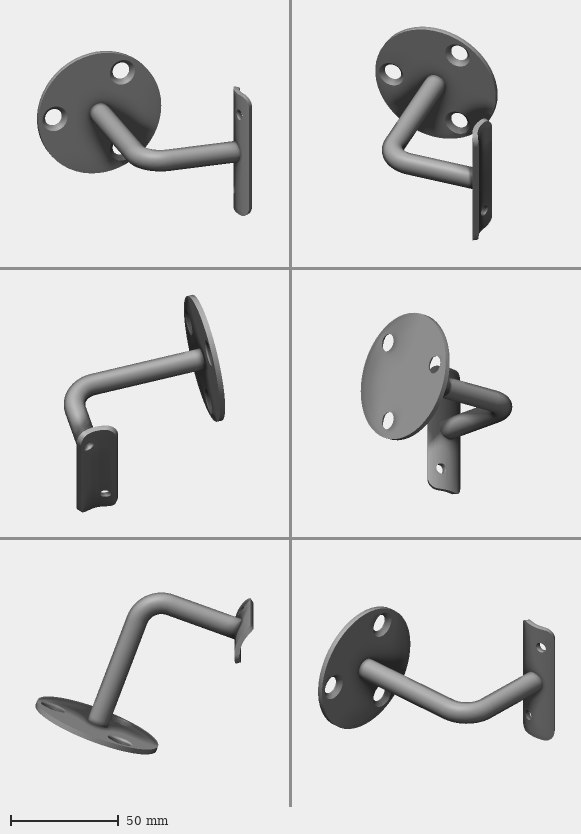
import cadquery as cq
import math

disc_diameter = 60.0
disc_thickness = 2.5
screw_hole_diameter = 8.2
screw_hole_land = 0.5
screw_circle_radius = 22.0
screw_hole_count = 3

arm_diameter = 10.0
bend_radius = 12.0

overall_length = 80.0
saddle_width = 20.0
saddle_height = 60.0
saddle_thickness = 2.5
saddle_outer_radius = 16.8
saddle_corner_radius = 4.95
saddle_x = 67.0
saddle_hole_diameter = 4.95
saddle_hole_x = 4.0
saddle_hole_z = 20.0

saddle_inner_radius = saddle_outer_radius - saddle_thickness
saddle_middle_radius = (saddle_inner_radius + saddle_outer_radius) / 2
half_angle = math.asin(saddle_width / 2 / saddle_outer_radius)
saddle_tip_y = overall_length - disc_diameter / 2
saddle_axis_y = saddle_tip_y + saddle_inner_radius * math.cos(half_angle)


def make_disc():
    disc = cq.Workplane("YZ").circle(disc_diameter / 2).extrude(disc_thickness)
    countersink_radius = screw_hole_diameter / 2 + disc_thickness - screw_hole_land
    hole = (
        cq.Workplane("XY")
        .polyline([
            (0, 0),
            (0, screw_hole_diameter / 2),
            (screw_hole_land, screw_hole_diameter / 2),
            (disc_thickness, countersink_radius),
            (disc_thickness, 0),
        ])
        .close()
        .revolve(360, (0, 0, 0), (1, 0, 0))
        .translate((0, -screw_circle_radius, 0))
    )
    for index in range(screw_hole_count):
        angle = index * 360 / screw_hole_count
        disc = disc.cut(hole.rotate((0, 0, 0), (1, 0, 0), angle))
    return disc


def make_arm():
    path = (
        cq.Workplane("XY")
        .lineTo(saddle_x - bend_radius, 0)
        .tangentArcPoint((saddle_x, bend_radius), relative=False)
        .lineTo(saddle_x, saddle_axis_y)
    )
    arm = cq.Workplane("YZ").circle(arm_diameter / 2).sweep(path)
    saddle_bore = (
        cq.Workplane("XY", origin=(saddle_x, saddle_axis_y, -saddle_height / 2))
        .circle(saddle_middle_radius)
        .extrude(saddle_height)
    )
    return arm.cut(saddle_bore)


def saddle_point(radius, angle):
    """Point at an angle from the -Y direction around the saddle axis."""
    return (saddle_x + radius * math.sin(angle), saddle_axis_y - radius * math.cos(angle))


def make_saddle():
    curved_strip = (
        cq.Workplane("XY", origin=(0, 0, -saddle_height / 2))
        .moveTo(*saddle_point(saddle_outer_radius, -half_angle))
        .threePointArc(
            saddle_point(saddle_outer_radius, 0),
            saddle_point(saddle_outer_radius, half_angle),
        )
        .lineTo(*saddle_point(saddle_inner_radius, half_angle))
        .threePointArc(
            saddle_point(saddle_inner_radius, 0),
            saddle_point(saddle_inner_radius, -half_angle),
        )
        .close()
        .extrude(saddle_height)
    )
    for side in (-1, 1):
        for end in (-1, 1):
            corner = (*saddle_point(saddle_middle_radius, side * half_angle), end * saddle_height / 2)
            corner_edge = cq.selectors.NearestToPointSelector(corner)
            curved_strip = curved_strip.edges(corner_edge).fillet(saddle_corner_radius)
    holes = (
        cq.Workplane("XZ", origin=(saddle_x, 0, 0))
        .pushPoints([(saddle_hole_x, saddle_hole_z), (-saddle_hole_x, -saddle_hole_z)])
        .circle(saddle_hole_diameter / 2)
        .extrude(-overall_length)
    )
    return curved_strip.cut(holes)


result = make_disc().union(make_arm()).union(make_saddle())